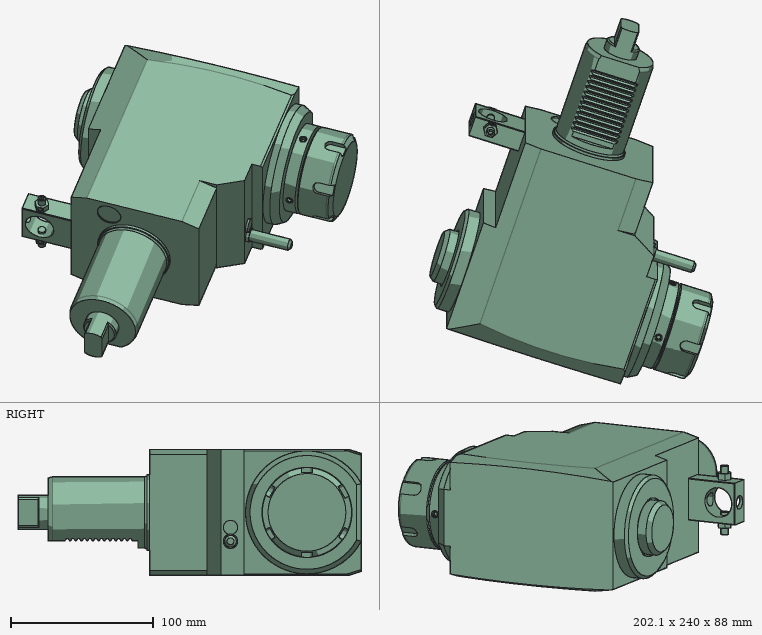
import cadquery as cq
import math


half_height = 44.0
housing_depth = 148.0
foot_left = -46.5
foot_right = 47.5
foot_side_depth = 40.0
head_left = -55.5
head_right = 72.7
head_start_y = 66.0
elbow_x = 64.8
elbow_y = 50.0
side_chamfer_x = 35.0
side_chamfer_angle = 15.0
rim_chamfer_length = 1.5
rim_chamfer_drop = 1.0

relief_radius = 332.0
relief_angle = 18.0
relief_center_x = 18.3
relief_start_y = 139.9
relief_reach = 40.0

recess_x = -18.7
recess_z = 32.2
recess_radius = 8.6
recess_depth = 1.0

shank_radius = 25.0
shank_end = -71.0
shank_tip_length = 3.0
shank_tip_step = 0.8
collar_radius = 26.5
collar_thickness = 2.0
collar_taper_end = -3.5
flat_z = -20.0
flat_start = -8.2
tooth_pitch = 4.0
tooth_depth = 1.7
tooth_gap_mouth = 3.4
tooth_gap_root = 1.0
tooth_gap_count = 12
first_gap_y = -13.7
tang_radius = 12.0
neck_end = -78.3
tang_end = -92.0
tang_half_width = 6.6
tang_corner_chamfer = 1.0
neck_edge_chamfer = 1.0

spindle_y = 110.0
cover_radius = 36.5
cover_face_x = -65.8
cover_chamfer = 2.1
cap_radius = 19.2
cap_face_x = -75.0
cap_chamfer_length = 3.2
cap_chamfer_depth = 2.6
cap_gap_radius = 20.6
cap_gap_depth = 1.0

flange_radius = 43.0
flange_end = 83.7
flange_chamfer_length = 6.0
flange_chamfer_depth = 3.2
nose_radius = 31.5
collar_end = 92.5
nut_start = 94.0
nut_end = 119.1
neck_radius = 25.0
edge_break = 0.7
nut_land_end = 115.3
nut_chamfer_start = 116.7
nut_lip_radius = 31.2
nut_face_radius = 27.2
slot_count = 6
slot_width = 8.0
slot_start = 104.3
slot_floor_radius = 28.0
long_slot_index = 5
long_slot_width = 9.5
long_slot_start = 101.2
pin_hole_x = 88.2
pin_hole_count = 4
pin_hole_mouth_diameter = 5.0
pin_hole_mouth_depth = 0.7
pin_hole_diameter = 3.2
pin_hole_depth = 2.5

pin_y = 56.5
pin_z = -20.2
pin_radius = 4.1
pin_end = 97.2
pin_tip_length = 1.8
pin_tip_radius = 2.4
seat_radius = 5.0
seat_thickness = 2.3
boss_z = -10.5
boss_thickness = 1.6

bracket_left = -83.0
bracket_front_y = 0.8
bracket_width = 15.0
bracket_half_height = 15.0
bracket_chamfer = 0.5
eye_x = -70.1
eye_radius = 10.5
cross_hole_diameter = 9.4
cross_hole_end = -50.0
cross_hole_cone_length = 2.0
cross_hole_tip_diameter = 2.8
screw_y = 6.2
screw_diameter = 5.4
screw_inner_z = 8.5
screw_outer_z = 24.5
socket_flats = 3.0
socket_depth = 2.5
nut_flats = 8.7
nut_height = 4.5
nut_dimple_diameter = 3.4
nut_dimple_depth = 0.5

overlap = 1.0


def turned_on_spindle(profile):
    """Solid of revolution about the spindle axis from (x, radius) points."""
    points = [(x, spindle_y + radius) for x, radius in profile]
    return cq.Workplane("XY").polyline(points).close().revolve(360, (0, spindle_y), (1, spindle_y))


def turned_on_shank(profile):
    """Solid of revolution about the shank axis from (radius, y) points."""
    return cq.Workplane("XY").polyline(profile).close().revolve(360, (0, 0), (0, 1))


def rod_along_x(x_start, x_end, y, z, radius):
    return cq.Workplane("YZ", origin=(x_start, y, z)).circle(radius).extrude(x_end - x_start)


def rod_along_z(x, y, z_start, z_end, radius):
    return cq.Workplane("XY", origin=(x, y, z_start)).circle(radius).extrude(z_end - z_start)


def block(x_range, y_range, z_range):
    sizes = [high - low for low, high in (x_range, y_range, z_range)]
    corner = (x_range[0], y_range[0], z_range[0])
    return cq.Workplane("XY").box(*sizes, centered=False).translate(corner)


def with_mirror(solid):
    """The solid joined with its mirror image below Z = 0."""
    return solid.union(solid.mirror("XY"))


def wedge(points, y_start, y_end):
    """Prism along Y from (x, z) points."""
    profile = cq.Workplane("XZ", origin=(0, y_start, 0)).polyline(points).close()
    return profile.extrude(y_start - y_end)


def make_housing():
    outline = [
        (foot_left, 0),
        (foot_right, 0),
        (foot_right, foot_side_depth),
        (elbow_x, elbow_y),
        (elbow_x, head_start_y),
        (head_right, head_start_y),
        (head_right, housing_depth),
        (head_left, housing_depth),
        (head_left, head_start_y),
        (foot_left, head_start_y),
    ]
    lower_plane = cq.Workplane("XY", origin=(0, 0, -half_height))
    housing = lower_plane.polyline(outline).close().extrude(2 * half_height)

    slope = math.tan(math.radians(side_chamfer_angle))
    for outer_x, depth in ((head_left, housing_depth), (foot_right, foot_side_depth)):
        side = math.copysign(1, outer_x)
        drop = (abs(outer_x) - side_chamfer_x) * slope
        corner = [
            (side * side_chamfer_x, half_height),
            (outer_x, half_height - drop),
            (outer_x, half_height),
        ]
        housing = housing.cut(with_mirror(wedge(corner, 0, depth)))

    rim = [
        (head_right - rim_chamfer_length, half_height),
        (head_right, half_height - rim_chamfer_drop),
        (head_right, half_height),
    ]
    housing = housing.cut(with_mirror(wedge(rim, head_start_y, housing_depth)))

    housing = housing.intersect(make_relief_envelope())
    recess = cq.Workplane("XZ", origin=(recess_x, 0, recess_z)).circle(recess_radius).extrude(-recess_depth)
    return housing.cut(recess)


def make_relief_envelope():
    """Double cone whose flanks bevel the upper and lower back edges of the housing."""
    outer_radius = relief_radius + relief_reach
    outer_z = half_height - relief_reach * math.tan(math.radians(relief_angle))
    profile = [
        (0, -half_height),
        (relief_radius, -half_height),
        (outer_radius, -outer_z),
        (outer_radius, outer_z),
        (relief_radius, half_height),
        (0, half_height),
    ]
    cone = cq.Workplane("XZ").polyline(profile).close().revolve(360, (0, 0), (0, 1))
    return cone.translate((relief_center_x, relief_start_y - relief_radius, 0))


def make_shank():
    shank = turned_on_shank([
        (0, overlap),
        (collar_radius, overlap),
        (collar_radius, -collar_thickness),
        (shank_radius + edge_break, -collar_thickness),
        (shank_radius, collar_taper_end),
        (shank_radius, shank_end + shank_tip_length),
        (shank_radius - shank_tip_step, shank_end),
        (0, shank_end),
    ])
    across = (-shank_radius, shank_radius)
    shank = shank.cut(block(across, (shank_end, flat_start), (-collar_radius, flat_z)))

    for index in range(tooth_gap_count):
        y = first_gap_y - index * tooth_pitch
        gap = [
            (y - tooth_gap_mouth / 2, flat_z),
            (y - tooth_gap_root / 2, flat_z + tooth_depth),
            (y + tooth_gap_root / 2, flat_z + tooth_depth),
            (y + tooth_gap_mouth / 2, flat_z),
        ]
        cutter = cq.Workplane("YZ").polyline(gap).close().extrude(shank_radius, both=True)
        shank = shank.cut(cutter)
    return shank.union(make_tang())


def make_tang():
    neck = turned_on_shank([
        (0, shank_end + overlap),
        (tang_radius, shank_end + overlap),
        (tang_radius, neck_end + neck_edge_chamfer),
        (tang_radius - neck_edge_chamfer, neck_end),
        (0, neck_end),
    ])
    blade = cq.Workplane("XZ", origin=(0, neck_end + overlap, 0)).circle(tang_radius)
    blade = blade.extrude(neck_end + overlap - tang_end)
    flats = block(
        (-tang_half_width, tang_half_width),
        (tang_end, 0),
        (-tang_radius, tang_radius),
    )
    blade = blade.intersect(flats)
    blade = blade.faces("<X or >X").edges("|Y").chamfer(tang_corner_chamfer)
    return neck.union(blade)


def make_rear_cover():
    gap_floor_x = cover_face_x + cap_gap_depth
    return turned_on_spindle([
        (head_left + overlap, 0),
        (head_left + overlap, cover_radius),
        (cover_face_x + cover_chamfer, cover_radius),
        (cover_face_x, cover_radius - cover_chamfer),
        (cover_face_x, cap_gap_radius),
        (gap_floor_x, cap_gap_radius),
        (gap_floor_x, cap_radius),
        (cap_face_x + cap_chamfer_length, cap_radius),
        (cap_face_x, cap_radius - cap_chamfer_depth),
        (cap_face_x, 0),
    ])


def make_flange():
    """Round flange, cut level with the back of the housing, beveled all round its face."""
    flank_x = flange_end - flange_chamfer_length
    core = rod_along_x(head_right - overlap, flank_x, spindle_y, 0, flange_radius)
    reach = (-flange_radius, flange_radius)
    core = core.intersect(block((0, flank_x), (0, housing_depth), reach))
    taper = math.degrees(math.atan(flange_chamfer_depth / flange_chamfer_length))
    tip = core.faces(">X").wires().toPending().workplane().extrude(
        flange_chamfer_length, combine=False, taper=taper
    )
    return core.union(tip)


def make_spindle_nose():
    nose = turned_on_spindle([
        (flange_end - overlap, 0),
        (flange_end - overlap, nose_radius),
        (collar_end, nose_radius),
        (collar_end, neck_radius),
        (nut_start, neck_radius),
        (nut_start, nose_radius - edge_break),
        (nut_start + edge_break, nose_radius),
        (nut_land_end, nose_radius),
        (nut_chamfer_start, nut_lip_radius),
        (nut_end, nut_face_radius),
        (nut_end, 0),
    ])
    for index in range(slot_count):
        is_long = index == long_slot_index
        width = long_slot_width if is_long else slot_width
        start = long_slot_start if is_long else slot_start
        nose = nose.cut(turned_about_spindle(nut_slot(start, width), index * 360 / slot_count))

    mouth_floor = nose_radius - pin_hole_mouth_depth
    hole_floor = nose_radius - pin_hole_depth
    hole_top = nose_radius + overlap
    hole = rod_along_z(pin_hole_x, spindle_y, mouth_floor, hole_top, pin_hole_mouth_diameter / 2)
    hole = hole.union(rod_along_z(pin_hole_x, spindle_y, hole_floor, hole_top, pin_hole_diameter / 2))
    for index in range(pin_hole_count):
        nose = nose.cut(turned_about_spindle(hole, index * 360 / pin_hole_count))
    return nose


def nut_slot(start, width):
    """Cutter for a round-ended spanner slot in the top of the nut, open at the nut face."""
    end_center = start + width / 2
    cutter = rod_along_z(end_center, spindle_y, slot_floor_radius, flange_radius, width / 2)
    return cutter.union(block(
        (end_center, nut_end + overlap),
        (spindle_y - width / 2, spindle_y + width / 2),
        (slot_floor_radius, flange_radius),
    ))


def turned_about_spindle(solid, angle):
    return solid.rotate((0, spindle_y, 0), (1, spindle_y, 0), angle)


def make_locating_pin():
    root_x = elbow_x - overlap
    pin = rod_along_x(root_x, pin_end - pin_tip_length, pin_y, pin_z, pin_radius)
    tip = cq.Workplane("YZ", origin=(pin_end - pin_tip_length, pin_y, pin_z)).circle(pin_radius)
    tip = tip.workplane(offset=pin_tip_length).circle(pin_tip_radius).loft()
    pin = pin.union(tip)
    seat = rod_along_x(root_x, elbow_x + seat_thickness, pin_y, pin_z, seat_radius)
    boss = rod_along_x(root_x, elbow_x + boss_thickness, pin_y, boss_z, seat_radius)
    return pin.union(seat).union(boss)


def make_bracket():
    back_y = bracket_front_y + bracket_width
    bracket = block(
        (bracket_left, foot_left + overlap),
        (bracket_front_y, back_y),
        (-bracket_half_height, bracket_half_height),
    )
    bracket = bracket.edges("|X or (|Z and <X)").chamfer(bracket_chamfer)

    middle_y = bracket_front_y + bracket_width / 2
    eye = cq.Workplane("XZ", origin=(eye_x, back_y, 0)).circle(eye_radius).extrude(bracket_width)
    bracket = bracket.cut(eye)
    cross_hole = rod_along_x(bracket_left, cross_hole_end, middle_y, 0, cross_hole_diameter / 2)
    cone = cq.Workplane("YZ", origin=(cross_hole_end, middle_y, 0)).circle(cross_hole_diameter / 2)
    cone = cone.workplane(offset=cross_hole_cone_length).circle(cross_hole_tip_diameter / 2).loft()
    bracket = bracket.cut(cross_hole).cut(cone)
    return bracket.union(with_mirror(make_clamp_screw()))


def hexagon_diameter(flats):
    """Diameter across the corners of a hexagon from its size across flats."""
    return flats / math.cos(math.pi / 6)


def make_clamp_screw():
    screw = rod_along_z(eye_x, screw_y, screw_inner_z, screw_outer_z, screw_diameter / 2)
    top_plane = cq.Workplane("XY", origin=(eye_x, screw_y, screw_outer_z))
    screw = screw.cut(top_plane.polygon(6, hexagon_diameter(socket_flats)).extrude(-socket_depth))
    seat = cq.Workplane("XY", origin=(eye_x, screw_y, bracket_half_height - overlap))
    nut = seat.polygon(6, hexagon_diameter(nut_flats)).extrude(nut_height + overlap)
    dimple_z = bracket_half_height + nut_height / 2
    dimple = cq.Workplane("XZ", origin=(eye_x, screw_y - nut_flats / 2, dimple_z))
    dimple = dimple.circle(nut_dimple_diameter / 2).extrude(-nut_dimple_depth)
    return screw.union(nut.cut(dimple))


result = make_housing()
for component in (
    make_shank(),
    make_rear_cover(),
    make_flange(),
    make_spindle_nose(),
    make_locating_pin(),
    make_bracket(),
):
    result = result.union(component)